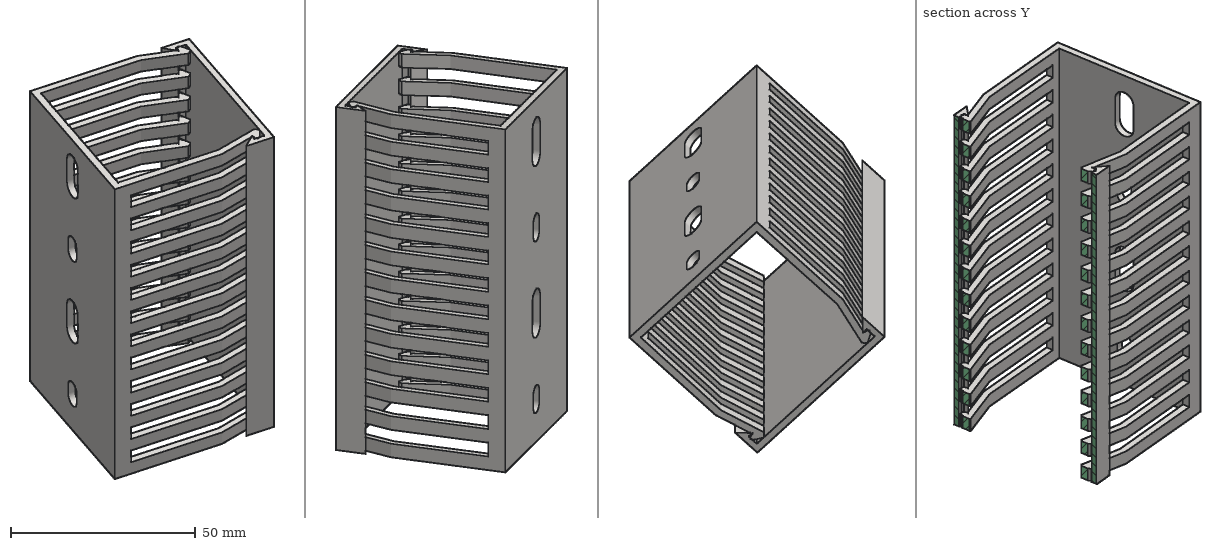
import cadquery as cq
import math

WIDTH = 49.0
DEPTH = 49.0
LENGTH = 100.0
HALF_WIDTH = WIDTH / 2
FLOOR_Y = -DEPTH / 2
COVER_Y = DEPTH / 2

FLOOR_THICKNESS = 2.2
WALL_ROOT = 2.2
WALL_KNEE = 2.1
KNEE_DEPTH = 16.0
LEAN_ANGLE = 15.2
LEAN = math.tan(math.radians(LEAN_ANGLE))

FINGER_COUNT = 13
FINGER_PITCH = LENGTH / (FINGER_COUNT - 0.5)
SLOT_WIDTH = FINGER_PITCH / 2
SLOT_START = 5.0

MOUNT_SPACING = LENGTH / 4
LONG_SLOT = (14.0, 6.3)
SHORT_SLOT = (8.0, 4.8)

COVER_THICKNESS = 2.0
COVER_WALL = 1.8
SKIRT_DEPTH = 8.6
HOOK_REACH = 3.3
HOOK_TIP_DEPTH = 5.0
HOOK_SHELF_DEPTH = 5.1
GROOVE_REACH = 1.5
GROOVE_TOP = 3.8
GROOVE_BOTTOM = 4.6

BARB_BOTTOM = 4.7
BARB_TOP = 3.3
BARB_SHOULDER = 2.2
CROWN_INSET = 4.5
BEAD_TOP_INSET = 5.2
BEAD_TOP = 2.6
BEAD_INSET = 5.6
BEAD_MIDDLE = 3.2
BEAD_BOTTOM = 3.8

CLEARANCE = 1.0


def place(inset, drop):
    """XY point on the -X side, from its inset off the side face and drop below the cover's face."""
    return (-HALF_WIDTH + inset, COVER_Y - drop)


def symmetric_prism(half_outline):
    """Extrude an outline closed by its own mirror image across the YZ plane."""
    other_half = [(-x, y) for x, y in reversed(half_outline)]
    return (
        cq.Workplane("XY", origin=(0, 0, -LENGTH / 2))
        .polyline(half_outline + other_half)
        .close()
        .extrude(LENGTH)
    )


def lean_inset(drop):
    """Inset of a leaning finger's outer face at a given drop."""
    return (KNEE_DEPTH - drop) * LEAN


def hook_contact():
    """Point where a leaning finger's outer face meets the sloping face of the cover's hook."""
    hook_slope = (SKIRT_DEPTH - HOOK_TIP_DEPTH) / HOOK_REACH
    inset = lean_inset(SKIRT_DEPTH) / (1 - LEAN * hook_slope)
    return place(inset, SKIRT_DEPTH - hook_slope * inset)


def trunk_body():
    """U-shaped trunk whose walls lean inwards above a knee and end in snap heads."""
    half_outline = [
        (-HALF_WIDTH, FLOOR_Y),
        place(0, KNEE_DEPTH),
        hook_contact(),
        place(HOOK_REACH, HOOK_TIP_DEPTH),
        place(COVER_WALL, BARB_BOTTOM),
        place(COVER_WALL, BARB_TOP),
        place(BARB_SHOULDER, BARB_TOP),
        place(CROWN_INSET, COVER_THICKNESS),
        place(BEAD_TOP_INSET, BEAD_TOP),
        place(BEAD_INSET, BEAD_MIDDLE),
        place(WALL_KNEE + lean_inset(BEAD_BOTTOM), BEAD_BOTTOM),
        place(WALL_KNEE, KNEE_DEPTH),
        (-HALF_WIDTH + WALL_ROOT, FLOOR_Y + FLOOR_THICKNESS),
    ]
    return symmetric_prism(half_outline)


def finger_slots():
    """Gaps between the fingers, cut through both side walls and open at the finger tips."""
    start_y = FLOOR_Y + SLOT_START
    slot_height = COVER_Y - start_y
    slot_count = FINGER_COUNT - 1
    centres = [(0, (i - (slot_count - 1) / 2) * FINGER_PITCH) for i in range(slot_count)]
    return (
        cq.Workplane("XZ", origin=(0, start_y, 0))
        .pushPoints(centres)
        .rect(WIDTH + 2 * CLEARANCE, SLOT_WIDTH)
        .extrude(-slot_height)
    )


def mounting_slots():
    """Round-ended slots through the floor, long and short in turn from the top."""
    cutters = cq.Workplane("XZ", origin=(0, FLOOR_Y, 0))
    tools = []
    for index, (length, width) in enumerate([LONG_SLOT, SHORT_SLOT, LONG_SLOT, SHORT_SLOT]):
        centre_z = LENGTH / 2 - (index + 0.5) * MOUNT_SPACING
        slot = cutters.center(0, centre_z).slot2D(length, width, 90).extrude(-FLOOR_THICKNESS)
        tools.append(slot)
    return tools


def make_trunk():
    trunk = trunk_body().cut(finger_slots())
    for slot in mounting_slots():
        trunk = trunk.cut(slot)
    return trunk


def make_cover():
    """Flat cover with hooked sides that snap under the finger barbs."""
    half_outline = [
        place(0, 0),
        place(0, SKIRT_DEPTH),
        place(HOOK_REACH, HOOK_TIP_DEPTH),
        place(COVER_WALL, HOOK_SHELF_DEPTH),
        place(COVER_WALL, GROOVE_BOTTOM),
        place(GROOVE_REACH, (GROOVE_TOP + GROOVE_BOTTOM) / 2),
        place(COVER_WALL, GROOVE_TOP),
        place(COVER_WALL, COVER_THICKNESS),
    ]
    return symmetric_prism(half_outline)


trunk = make_trunk()
cover = make_cover()
result = cq.Compound.makeCompound([trunk.val(), cover.val()])